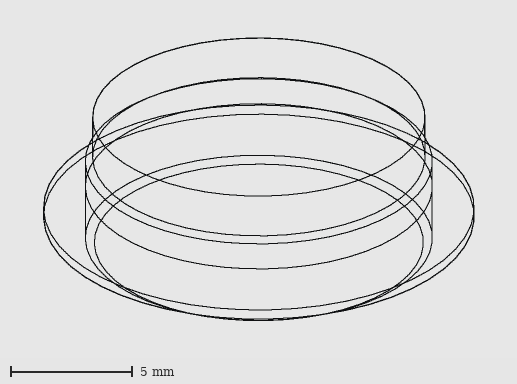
import cadquery as cq

core_diameter = 14.27
neck_diameter = 13.66
base_diameter = 13.52
total_height = 5.85
base_taper_height = 0.21
shoulder_height = 3.79
neck_start_height = 4.0

ring_diameter = 17.7
rim_height = 0.42
ring_cone_height = 1.0

core_radius = core_diameter / 2
neck_radius = neck_diameter / 2
base_radius = base_diameter / 2
ring_radius = ring_diameter / 2


def revolve_profile(points):
    """Revolve a closed (radius, height) outline around the Z axis."""
    return cq.Workplane("XZ").polyline(points).close().revolve(360, (0, 0, 0), (0, 1, 0))


def make_core():
    """Solid plug with a tapered base, a conical shoulder and a narrower neck."""
    return revolve_profile([
        (0, 0),
        (base_radius, 0),
        (core_radius, base_taper_height),
        (core_radius, shoulder_height),
        (neck_radius, neck_start_height),
        (neck_radius, total_height),
        (0, total_height),
    ])


def make_ring():
    """Collar whose two cones run from the core wall out to a narrow rim."""
    ring_bottom = base_taper_height
    rim_bottom = ring_bottom + ring_cone_height
    rim_top = rim_bottom + rim_height
    ring_top = rim_top + ring_cone_height
    return revolve_profile([
        (core_radius, ring_bottom),
        (ring_radius, rim_bottom),
        (ring_radius, rim_top),
        (core_radius, ring_top),
    ])


core = make_core()
ring = make_ring()

result = cq.Compound.makeCompound([core.val(), ring.val()])